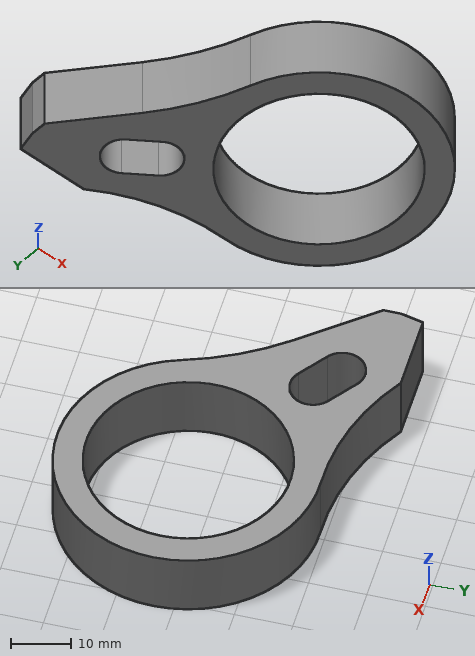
import cadquery as cq
import math

thickness = 12.0
ring_radius = 22.5
bore_radius = 17.5

arm_left = ring_radius - 63.3
arm_top = 29.45
top_corner_x = -39.9
shoulder_x = -25.85
left_edge_top = 25.45
left_edge_bottom = 22.4

arm_angle = 143.4

upper_blend_radius = 43.05
upper_joint_angle = 92.0
lower_blend_radius = 51.3
lower_joint_angle = 197.9
lower_blend_sweep = 21.3

slot_distance = 29.4
slot_center_spacing = 6.15
slot_width = 7.85


def polar(radius, angle, origin=(0, 0)):
    """Point at a radius and an angle in degrees around an origin."""
    a = math.radians(angle)
    return (origin[0] + radius * math.cos(a), origin[1] + radius * math.sin(a))


def body():
    """Teardrop plate whose arm flows smoothly into the ring."""
    upper_joint = polar(ring_radius, upper_joint_angle)
    lower_joint = polar(ring_radius, lower_joint_angle)
    ring_far = polar(ring_radius, arm_angle + 180)

    blend_center = polar(ring_radius + lower_blend_radius, lower_joint_angle)
    inward_angle = lower_joint_angle + 180
    blend_middle = polar(lower_blend_radius, inward_angle + lower_blend_sweep / 2, blend_center)
    blend_end = polar(lower_blend_radius, inward_angle + lower_blend_sweep, blend_center)

    return (
        cq.Workplane("XY")
        .moveTo(*upper_joint)
        .threePointArc(ring_far, lower_joint)
        .threePointArc(blend_middle, blend_end)
        .lineTo(arm_left, left_edge_bottom)
        .lineTo(arm_left, left_edge_top)
        .lineTo(top_corner_x, arm_top)
        .lineTo(shoulder_x, arm_top)
        .radiusArc(upper_joint, -upper_blend_radius)
        .close()
        .extrude(thickness)
    )


def bore():
    return cq.Workplane("XY").circle(bore_radius).extrude(thickness)


def slot():
    return (
        cq.Workplane("XY")
        .center(*polar(slot_distance, arm_angle))
        .slot2D(slot_center_spacing + slot_width, slot_width, arm_angle)
        .extrude(thickness)
    )


result = body().cut(bore()).cut(slot())